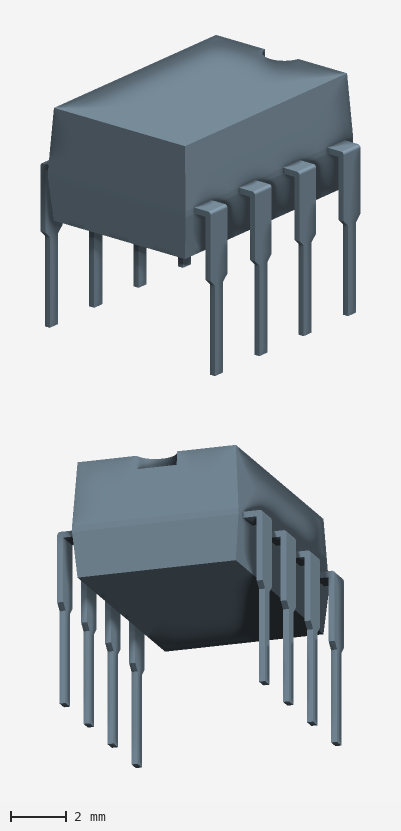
import cadquery as cq


body_length = 9.59
body_width = 6.36
taper_inset = 0.15
body_top_z = 8.83
body_bottom_z = 4.48
band_top_z = 6.4

notch_radius = 0.79
notch_depth = 0.52

leads_per_side = 4
lead_pitch = 2.54
lead_span = 7.85
lead_thickness = 0.23
lead_bend_radius = lead_thickness / 2
lead_wide = 0.96
lead_narrow = 0.46
shoulder_bottom_z = 3.49

band_bottom_z = band_top_z - lead_thickness
shoulder_height = (lead_wide - lead_narrow) / 2


def body_section(z, inset):
    """Rectangular wire of the package at height z, drawn in from the band sides."""
    section = cq.Workplane("XY", origin=(0, 0, z))
    return section.rect(body_width - 2 * inset, body_length - 2 * inset).val()


def tapered_half(band_z, end_z):
    """Half of the package tapering from the band to an end face."""
    sections = [body_section(band_z, 0), body_section(end_z, taper_inset)]
    ruled = True
    return cq.Workplane(cq.Solid.makeLoft(sections, ruled))


def make_body():
    """Moulded package with its orientation notch."""
    band = (
        cq.Workplane("XY", origin=(0, 0, band_bottom_z))
        .rect(body_width, body_length)
        .extrude(lead_thickness)
    )
    upper_half = tapered_half(band_top_z, body_top_z)
    lower_half = tapered_half(band_bottom_z, body_bottom_z)
    notch = (
        cq.Workplane("XY", origin=(0, body_length / 2, body_top_z - notch_depth))
        .circle(notch_radius)
        .extrude(notch_depth)
    )
    return band.union(upper_half).union(lower_half).cut(notch).solids()


def make_lead():
    """Lead of the +X row, centred on Y = 0: an arm from the band bent down into a leg."""
    inner_x = body_width / 2
    outer_x = lead_span / 2
    shoulder_top_z = shoulder_bottom_z + shoulder_height
    arm_and_leg = (
        cq.Workplane("XZ")
        .moveTo(inner_x, band_top_z)
        .lineTo(outer_x - lead_bend_radius, band_top_z)
        .radiusArc((outer_x, band_top_z - lead_bend_radius), lead_bend_radius)
        .lineTo(outer_x, 0)
        .lineTo(outer_x - lead_thickness, 0)
        .lineTo(outer_x - lead_thickness, band_bottom_z)
        .lineTo(inner_x, band_bottom_z)
        .close()
        .extrude(lead_wide / 2, both=True)
    )
    stepped_outline = (
        cq.Workplane("YZ")
        .moveTo(-lead_narrow / 2, 0)
        .lineTo(lead_narrow / 2, 0)
        .lineTo(lead_narrow / 2, shoulder_bottom_z)
        .lineTo(lead_wide / 2, shoulder_top_z)
        .lineTo(lead_wide / 2, band_top_z)
        .lineTo(-lead_wide / 2, band_top_z)
        .lineTo(-lead_wide / 2, shoulder_top_z)
        .lineTo(-lead_narrow / 2, shoulder_bottom_z)
        .close()
        .extrude(outer_x)
    )
    return arm_and_leg.intersect(stepped_outline).solids()


def make_leads():
    """Both rows of leads, the -X row mirroring the +X row."""
    right_lead = make_lead()
    left_lead = right_lead.mirror("YZ")
    leads = []
    for index in range(leads_per_side):
        y = (index - (leads_per_side - 1) / 2) * lead_pitch
        for lead in (left_lead, right_lead):
            leads.append(lead.translate((0, y, 0)).val())
    return leads


body = make_body()
leads = make_leads()

result = cq.Compound.makeCompound([body.val(), *leads])